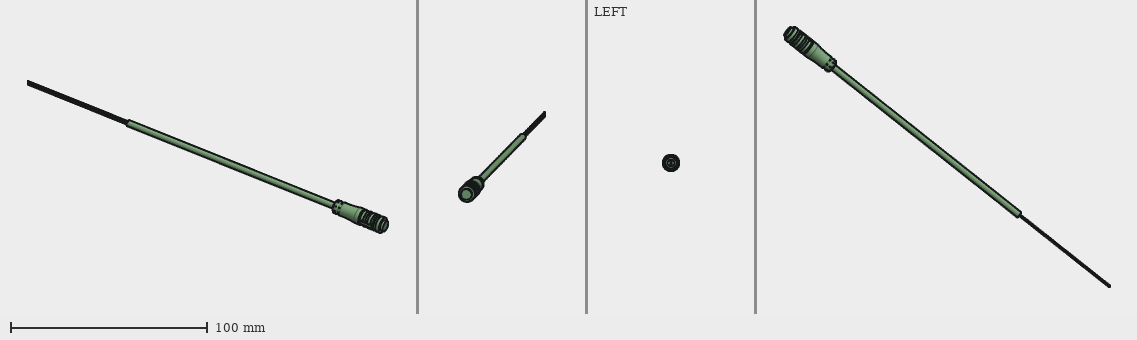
import cadquery as cq

overall_length = 212.6
wire_start_x = -overall_length / 2
cable_start_x = -46.7
grip_start_x = 76.4
grip_end_x = 92.5
sleeve_end_x = 104.7
nose_end_x = overall_length / 2
outer_radius = 4.25

cable_radius = 1.7
wire_count = 4
wire_diameter = 0.6
wire_pitch = 0.62
wire_embed = 2.0

collar_face_radius = 2.8
collar_radius = 3.6
collar_valley_radius = 3.2
collar_bevel_end_x = 77.0
ridge_crests = (78.25, 80.2)
ridge_valleys = (77.55, 79.3)
barrel_start_x = 81.0
barrel_start_radius = 3.6
barrel_middle_x = 86.5
barrel_middle_radius = 3.78
rim_start_x = 89.9
notch_count = 8
notch_width = 0.3
notch_length = 0.5
notch_depth = 0.2

rib_radius = 4.2
groove_radius = 3.95
sleeve_grooves = ((93.2, 95.1), (96.4, 97.6), (99.5, 100.8), (101.4, 102.6))
nose_radius = 2.8
pad_start_x = sleeve_grooves[0][0]
pad_end_x = sleeve_grooves[2][1]
pad_width = 3.2
mark_start_x = 93.4
mark_end_x = 100.9
mark_width = 2.0


def rod_along_x(start_x, end_x, radius, z=0.0):
    """Cylinder parallel to X at height z."""
    return cq.Workplane("YZ", origin=(start_x, 0, z)).circle(radius).extrude(end_x - start_x)


def make_cable():
    """Sheath with its wires stacked in one row along Z."""
    cable = rod_along_x(cable_start_x, grip_start_x, cable_radius)
    for i in range(wire_count):
        wire_z = (i - (wire_count - 1) / 2) * wire_pitch
        wire = rod_along_x(wire_start_x, cable_start_x + wire_embed, wire_diameter / 2, wire_z)
        cable = cable.union(wire)
    return cable


def make_grip():
    """Turned grip with notches across the collar ridges."""
    ridge_wave = []
    for valley_x, crest_x in zip(ridge_valleys, ridge_crests):
        ridge_wave.append((valley_x, collar_valley_radius))
        ridge_wave.append((crest_x, collar_radius))
    ridge_wave.append((barrel_start_x, barrel_start_radius))
    grip = (
        cq.Workplane("XZ")
        .moveTo(grip_start_x, 0)
        .lineTo(grip_start_x, collar_face_radius)
        .lineTo(collar_bevel_end_x, collar_radius)
        .spline(ridge_wave, includeCurrent=True)
        .threePointArc((barrel_middle_x, barrel_middle_radius), (rim_start_x, outer_radius))
        .lineTo(grip_end_x, outer_radius)
        .lineTo(grip_end_x, 0)
        .close()
        .revolve(360, (0, 0, 0), (1, 0, 0))
    )
    for crest_x in ridge_crests:
        notch_centre = (crest_x, 0, collar_radius)
        notch = cq.Workplane("XY").box(notch_length, notch_width, 2 * notch_depth).translate(notch_centre)
        for i in range(notch_count):
            grip = grip.cut(notch.rotate((0, 0, 0), (1, 0, 0), i * 360 / notch_count))
    return grip


def make_pads(start_x, end_x, width, radius):
    """Round-ended block through the axis whose two side faces follow the given radius."""
    slot = (
        cq.Workplane("XZ")
        .center((start_x + end_x) / 2, 0)
        .slot2D(end_x - start_x, width)
        .extrude(outer_radius, both=True)
    )
    return slot.intersect(rod_along_x(start_x, end_x, radius))


def make_plug():
    """Ribbed sleeve and nose, with a pad and a raised mark bridging the grooves on each side."""
    plug = rod_along_x(grip_end_x, sleeve_end_x, rib_radius)
    for start_x, end_x in sleeve_grooves:
        ring = rod_along_x(start_x, end_x, outer_radius).cut(rod_along_x(start_x, end_x, groove_radius))
        plug = plug.cut(ring)
    nose = rod_along_x(sleeve_end_x, nose_end_x, nose_radius)
    pads = make_pads(pad_start_x, pad_end_x, pad_width, rib_radius)
    marks = make_pads(mark_start_x, mark_end_x, mark_width, outer_radius)
    return plug.union(nose).union(pads).union(marks)


cable = make_cable()
grip = make_grip()
plug = make_plug()
result = cq.Compound.makeCompound([cable.val(), grip.val(), plug.val()])